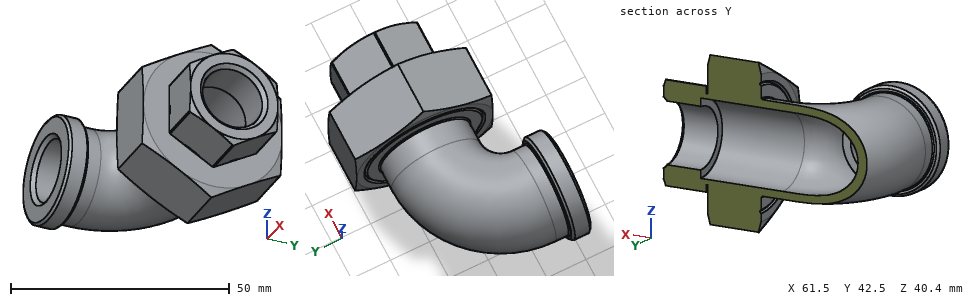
import cadquery as cq
import math


pipe_radius = 11.5
bend_radius = 16.55
passage_radius = 9.5
joint_chamfer = 0.3

bore_radius = 7.5
bore_depth = 10.0
bore_chamfer = 1.0

collar_radius = 13.05
collar_width = 5.0
collar_chamfer = 0.6
collar_face = 25.0

nut_across_corners = 40.35
nut_start = 22.25
nut_width = 14.45
nut_chamfer_angle = 15
nut_across_flats = nut_across_corners * math.cos(math.radians(30))

groove_radius = 15.1
groove_depth = 0.4

tail_across_flats = 22.0
tail_corner_radius = 12.6
tail_chamfer_angle = 20
tail_face_radius = 11.0
overall_length = 61.5
tail_end = overall_length - collar_radius

neck_radius = 10.8
neck_length = 0.25

nut_end = nut_start + nut_width
tail_start = nut_end + neck_length


def revolve_about_x(points):
    """Turn a closed outline of (x, radius) points about the X axis."""
    return cq.Workplane("XY").polyline(points).close().revolve(360, (0, 0), (1, 0))


def revolve_about_y(points):
    """Turn a closed outline of (radius, y) points about the Y axis."""
    return cq.Workplane("XY").polyline(points).close().revolve(360, (0, 0), (0, 1))


def hex_bar(across_flats, start, end):
    """Hexagonal bar along X with two corners on the Z axis."""
    across_corners = across_flats / math.cos(math.radians(30))
    return (
        cq.Workplane("YZ", origin=(start, 0, 0))
        .transformed(rotate=(0, 0, 90))
        .polygon(6, across_corners)
        .extrude(end - start)
    )


def swept_elbow(radius, end):
    """Round bar along the pipe's centre line, from the collar face to x = end."""
    path = (
        cq.Workplane("XY")
        .moveTo(0, -collar_face)
        .lineTo(0, -bend_radius)
        .radiusArc((bend_radius, 0), bend_radius)
        .lineTo(end, 0)
    )
    return cq.Workplane("XZ", origin=(0, -collar_face, 0)).circle(radius).sweep(path)


def make_collar():
    front = -collar_face
    back = front + collar_width
    return revolve_about_y([
        (0, front),
        (collar_radius - collar_chamfer, front),
        (collar_radius, front + collar_chamfer),
        (collar_radius, back - collar_chamfer),
        (collar_radius - collar_chamfer, back),
        (pipe_radius + joint_chamfer, back),
        (pipe_radius, back + joint_chamfer),
        (0, back + joint_chamfer),
    ])


def make_nut():
    face_radius = nut_across_flats / 2
    corner_radius = nut_across_corners / 2
    drop = (corner_radius - face_radius) * math.tan(math.radians(nut_chamfer_angle))
    envelope = revolve_about_x([
        (nut_start, 0),
        (nut_start, face_radius),
        (nut_start + drop, corner_radius),
        (nut_end - drop, corner_radius),
        (nut_end, face_radius),
        (nut_end, 0),
    ])
    groove = revolve_about_x([
        (nut_start, groove_radius - groove_depth),
        (nut_start + groove_depth, groove_radius),
        (nut_start, groove_radius + groove_depth),
    ])
    return hex_bar(nut_across_flats, nut_start, nut_end).intersect(envelope).cut(groove)


def make_joint():
    """Bevel where the pipe meets the flange inside the nut."""
    return revolve_about_x([
        (nut_start - joint_chamfer, 0),
        (nut_start - joint_chamfer, pipe_radius),
        (nut_start, pipe_radius + joint_chamfer),
        (nut_start, 0),
    ])


def make_tail():
    drop = (tail_corner_radius - tail_face_radius) * math.tan(math.radians(tail_chamfer_angle))
    envelope = revolve_about_x([
        (tail_start, 0),
        (tail_start, tail_corner_radius),
        (tail_end - drop, tail_corner_radius),
        (tail_end, tail_face_radius),
        (tail_end, 0),
    ])
    neck = cq.Workplane("YZ", origin=(nut_end, 0, 0)).circle(neck_radius).extrude(neck_length)
    return hex_bar(tail_across_flats, tail_start, tail_end).intersect(envelope).union(neck)


def make_end_bore():
    """Bore along +X from x = 0, with a chamfered mouth."""
    return revolve_about_x([
        (0, 0),
        (0, bore_radius + bore_chamfer),
        (bore_chamfer, bore_radius),
        (bore_depth, bore_radius),
        (bore_depth, 0),
    ])


def make_passage():
    """Wide passage round the bend, ending at a shoulder behind each end bore."""
    collar_shoulder = bore_depth - collar_face
    tail_shoulder = tail_end - bore_depth
    collar_block = (
        cq.Workplane("XZ", origin=(0, collar_shoulder, 0))
        .circle(collar_radius)
        .extrude(bore_depth)
    )
    return swept_elbow(passage_radius, tail_shoulder).cut(collar_block)


body = (
    swept_elbow(pipe_radius, nut_start)
    .union(make_collar())
    .union(make_joint())
    .union(make_nut())
    .union(make_tail())
)
collar_bore = make_end_bore().rotate((0, 0, 0), (0, 0, 1), 90).translate((0, -collar_face, 0))
tail_bore = make_end_bore().mirror("YZ").translate((tail_end, 0, 0))

result = body.cut(make_passage()).cut(collar_bore).cut(tail_bore)